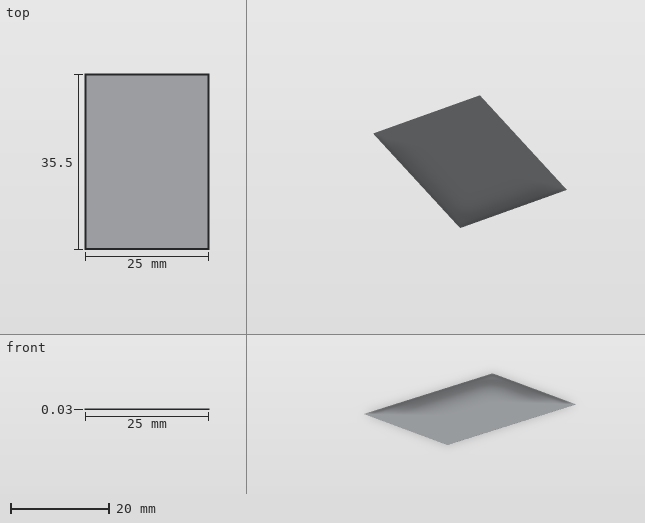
import cadquery as cq

width = 25.0
length = 35.5
thickness = 0.03

result = cq.Workplane("XY").box(width, length, thickness, centered=(True, True, False))